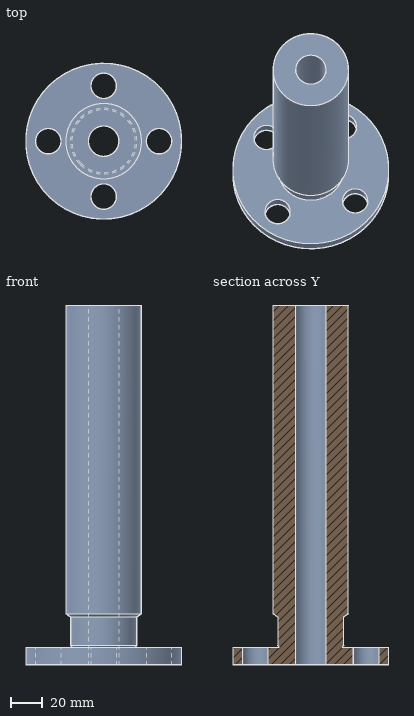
import cadquery as cq

total_height = 227.0
bore_diameter = 19.0

flange_diameter = 98.5
flange_thickness = 11.1
bolt_hole_count = 4
bolt_hole_diameter = 16.0
bolt_circle_diameter = 70.0

neck_diameter = 41.8
neck_foot_diameter = 40.0
neck_foot_height = 1.1

barrel_diameter = 47.7
barrel_bevel_bottom = 30.2
barrel_bevel_height = 2.0


def make_body():
    """Revolve the half outline of the flange, neck and barrel about Z."""
    flange_radius = flange_diameter / 2
    foot_radius = neck_foot_diameter / 2
    neck_radius = neck_diameter / 2
    barrel_radius = barrel_diameter / 2
    barrel_bottom = barrel_bevel_bottom + barrel_bevel_height
    outline = [
        (0, 0),
        (flange_radius, 0),
        (flange_radius, flange_thickness),
        (foot_radius, flange_thickness),
        (neck_radius, flange_thickness + neck_foot_height),
        (neck_radius, barrel_bevel_bottom),
        (barrel_radius, barrel_bottom),
        (barrel_radius, total_height),
        (0, total_height),
    ]
    return cq.Workplane("XZ").polyline(outline).close().revolve(360, (0, 0), (0, 1))


def make_bore():
    """Central passage through the whole height."""
    return cq.Workplane("XY").circle(bore_diameter / 2).extrude(total_height)


def make_bolt_holes():
    """Through holes of the flange, evenly spaced on the bolt circle."""
    return (
        cq.Workplane("XY")
        .polarArray(bolt_circle_diameter / 2, 0, 360, bolt_hole_count)
        .circle(bolt_hole_diameter / 2)
        .extrude(flange_thickness)
    )


result = make_body().cut(make_bore()).cut(make_bolt_holes())